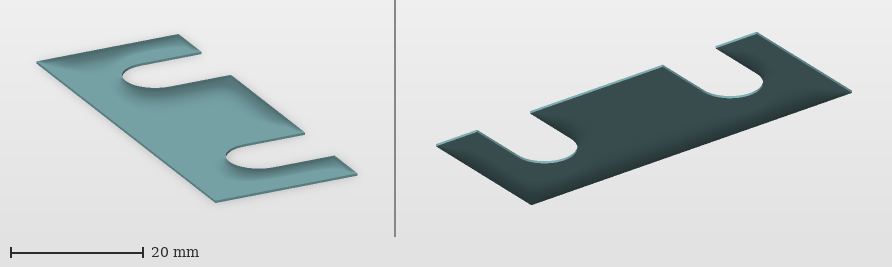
import cadquery as cq

length = 60.45
width = 23.9
thickness = 0.38

slot_width = 10.0
slot_depth = 15.25
slot_spacing = 35.0

slot_radius = slot_width / 2
back_edge = width / 2
slot_end_center_y = back_edge - slot_depth + slot_radius


def open_slot(center_x):
    """Cutter with a half-round inner end, reaching the +Y edge."""
    return (
        cq.Workplane("XY")
        .moveTo(center_x - slot_radius, back_edge)
        .lineTo(center_x - slot_radius, slot_end_center_y)
        .threePointArc(
            (center_x, slot_end_center_y - slot_radius),
            (center_x + slot_radius, slot_end_center_y),
        )
        .lineTo(center_x + slot_radius, back_edge)
        .close()
        .extrude(thickness)
    )


result = cq.Workplane("XY").box(length, width, thickness, centered=(True, True, False))
for slot_x in (-slot_spacing / 2, slot_spacing / 2):
    result = result.cut(open_slot(slot_x))